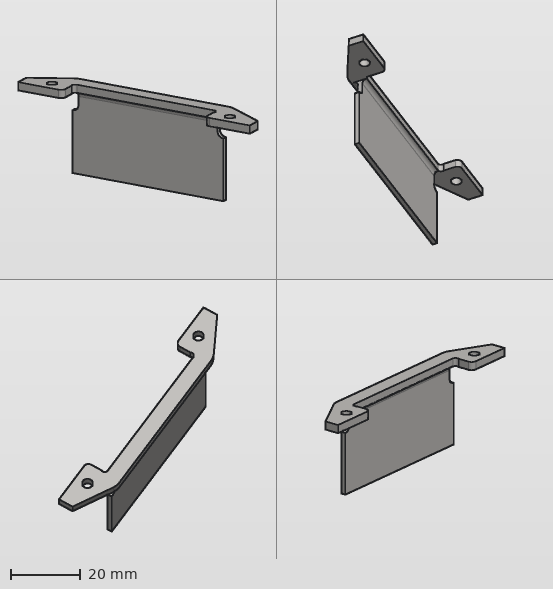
import cadquery as cq
import math

LENGTH = 76.8
DEPTH = 11.5
FLANGE_THICKNESS = 2.5
BAR_WIDTH = 5.0
EAR_END_WIDTH = 4.6
SHOULDER_X = 25.6
SHOULDER_RADIUS = 5.0
EAR_INNER_X = 23.6
EAR_CORNER_RADIUS = 1.45
RELIEF_RADIUS = 1.0
RELIEF_CENTER_X = 22.7
HOLE_DIAMETER = 3.1
HOLE_X = 29.5
HOLE_Y = 4.0

HEIGHT = 27.5
WEB_THICKNESS = 1.45
WEB_SETBACK = 2.15
WEB_HALF_WIDTH = 25.0
NECK_RADIUS = 2.0
NECK_HEIGHT = 6.0
ROOT_RADIUS = 1.4

half_length = LENGTH / 2
bar_front_y = DEPTH - BAR_WIDTH
neck_half_width = WEB_HALF_WIDTH - NECK_RADIUS
web_back_y = DEPTH - WEB_SETBACK
web_front_y = web_back_y - WEB_THICKNESS
web_bottom_z = FLANGE_THICKNESS - HEIGHT


def make_flange():
    """Bar with tapered ears, rounded corners and mounting holes."""
    outline = [
        (-half_length, 0),
        (-EAR_INNER_X, 0),
        (-EAR_INNER_X, bar_front_y),
        (EAR_INNER_X, bar_front_y),
        (EAR_INNER_X, 0),
        (half_length, 0),
        (half_length, EAR_END_WIDTH),
        (SHOULDER_X, DEPTH),
        (-SHOULDER_X, DEPTH),
        (-half_length, EAR_END_WIDTH),
    ]
    flange = cq.Workplane("XY").polyline(outline).close().extrude(FLANGE_THICKNESS)
    for side in (-1, 1):
        flange = round_corner(flange, side * EAR_INNER_X, 0, EAR_CORNER_RADIUS)
        flange = round_corner(flange, side * SHOULDER_X, DEPTH, SHOULDER_RADIUS)
    hole_centers = [(-HOLE_X, HOLE_Y), (HOLE_X, HOLE_Y)]
    holes = (
        cq.Workplane("XY")
        .pushPoints(hole_centers)
        .circle(HOLE_DIAMETER / 2)
        .extrude(FLANGE_THICKNESS)
    )
    return cut_corner_reliefs(flange.cut(holes))


def round_corner(flange, x, y, radius):
    """Fillet the vertical flange edge at (x, y)."""
    edge_middle = (x, y, FLANGE_THICKNESS / 2)
    return flange.edges(cq.selectors.NearestToPointSelector(edge_middle)).fillet(radius)


def cut_corner_reliefs(flange):
    """Undercut each inner ear corner with an arc tangent to the bar's front edge."""
    center_y = bar_front_y - RELIEF_RADIUS
    relief_centers = [(-RELIEF_CENTER_X, center_y), (RELIEF_CENTER_X, center_y)]
    corner_size = EAR_INNER_X - RELIEF_CENTER_X
    for side in (-1, 1):
        corner_fill = cq.Workplane("XY").box(
            corner_size, RELIEF_RADIUS, FLANGE_THICKNESS, centered=(True, True, False)
        )
        fill_x = side * (EAR_INNER_X + RELIEF_CENTER_X) / 2
        flange = flange.union(corner_fill.translate((fill_x, bar_front_y - RELIEF_RADIUS / 2, 0)))
    reliefs = (
        cq.Workplane("XY")
        .pushPoints(relief_centers)
        .circle(RELIEF_RADIUS)
        .extrude(FLANGE_THICKNESS)
    )
    return flange.cut(reliefs)


def make_web():
    """Plate whose top narrows to a neck through concave quarter rounds."""
    shoulder_z = -NECK_HEIGHT
    arc_top_z = shoulder_z + NECK_RADIUS
    arc_offset = NECK_RADIUS * math.sqrt(0.5)
    arc_middle = (WEB_HALF_WIDTH - arc_offset, arc_top_z - arc_offset)
    return (
        cq.Workplane("XZ", origin=(0, web_back_y, 0))
        .moveTo(-WEB_HALF_WIDTH, web_bottom_z)
        .lineTo(WEB_HALF_WIDTH, web_bottom_z)
        .lineTo(WEB_HALF_WIDTH, shoulder_z)
        .threePointArc(arc_middle, (neck_half_width, arc_top_z))
        .lineTo(neck_half_width, 0)
        .lineTo(-neck_half_width, 0)
        .lineTo(-neck_half_width, arc_top_z)
        .threePointArc((-arc_middle[0], arc_middle[1]), (-WEB_HALF_WIDTH, shoulder_z))
        .close()
        .extrude(WEB_THICKNESS)
    )


def make_root_fillets():
    """Concave fillets joining both faces of the neck to the flange."""
    return (
        cq.Workplane("YZ", origin=(-neck_half_width, 0, 0))
        .moveTo(web_front_y - ROOT_RADIUS, 0)
        .radiusArc((web_front_y, -ROOT_RADIUS), ROOT_RADIUS)
        .lineTo(web_back_y, -ROOT_RADIUS)
        .radiusArc((web_back_y + ROOT_RADIUS, 0), ROOT_RADIUS)
        .close()
        .extrude(2 * neck_half_width)
    )


result = make_flange().union(make_web()).union(make_root_fillets())